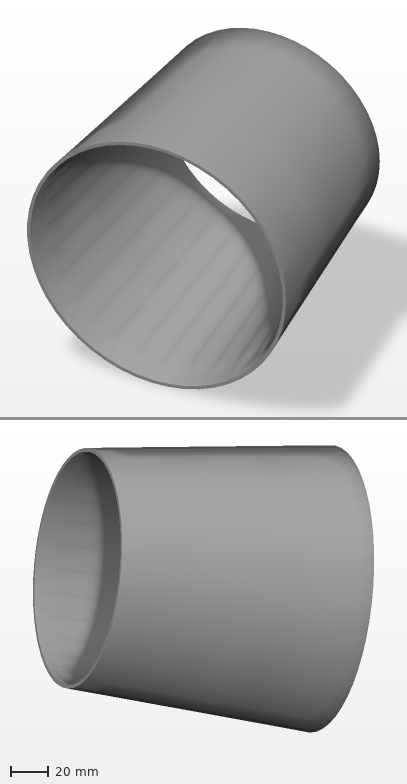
import cadquery as cq

large_diameter = 154.0
small_diameter = 129.0
length = 140.0
wall = 2.0

large_radius = large_diameter / 2
small_radius = small_diameter / 2
front_y = -length / 2
back_y = length / 2

wall_section = (
    cq.Workplane("XY")
    .moveTo(large_radius - wall, front_y)
    .lineTo(large_radius, front_y)
    .lineTo(small_radius, back_y)
    .lineTo(small_radius - wall, back_y)
    .close()
)

result = wall_section.revolve(360, (0, 0, 0), (0, 1, 0))